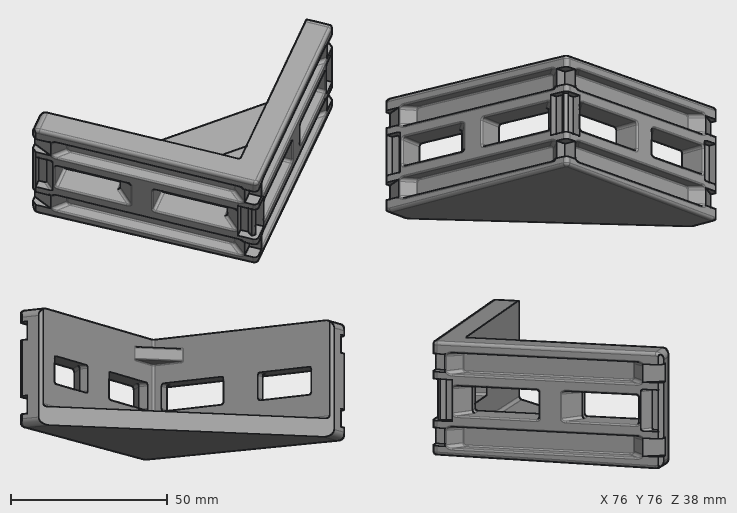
import cadquery as cq
import math

LEG = 76.0
HEIGHT = 38.0
MID_Z = HEIGHT / 2
PLATE = 8.7
DIAGONAL_OFFSET = 7.6
FLOOR = 6.0
WEB_TILT = 1.0
OVER = 3.8
SKIN = 0.1

END_ROUND = 2.5
END_CHAMFER = 1.45
CORNER_ROUND = 1.45
RIM_ROUND = 1.15
WEB_ROUND = 1.0
INNER_ROUND = 0.75

GUSSET_LEG = 11.25
GUSSET_BOTTOM = 29.95
GUSSET_TOP = 34.05
GUSSET_ROUND = 0.4

DRAFT = 2.0
MOUTH_ROUND = 0.5

GROOVE_OFFSET = 12.0
GROOVE_START, GROOVE_END = 6.5, 71.6
GROOVE_FLOOR_START, GROOVE_FLOOR_END = 10.6, 66.95
GROOVE_WIDTH = 6.9
GROOVE_DEPTH = 4.2
GROOVE_ROUND = 1.15
GROOVE_FLOOR_ROUND = 0.45
NOTCH_WIDTH = 5.85
END_NOTCH_DEPTH = 3.35
CORNER_NOTCH = 4.2

SLOTS = [(7.9, 33.6, 28.0), (40.8, 69.5, 64.15)]
SLOT_WIDTH = 9.65
SLOT_START_DRAFT = 0.1
SLOT_ROUND = 0.9

POCKET_WIDTH = 13.5
END_POCKET_FLOOR_END = 4.25
END_POCKET_END = 7.15
CORNER_POCKET_START = 69.5
CORNER_POCKET_DEPTH = 2.65
POST_FOOT = 72.05
POST_TIP = (73.7, 1.3)
POCKET_ROUND = 0.7


def mirrored(point):
    """Swap a plan point from one leg to the other."""
    return LEG - point[1], LEG - point[0]


def mirror_tool(tool):
    """Copy a cutting tool from the front leg to the side leg."""
    return tool.mirror(cq.Vector(1, 1, 0), (LEG, 0, 0))


def prism(points, z_low, z_high):
    return cq.Workplane("XY").workplane(offset=z_low).polyline(points).close().extrude(z_high - z_low)


def centered_prism(points, width, z):
    return prism(points, z - width / 2, z + width / 2)


def full_height_prism(points):
    return prism(points, -OVER, HEIGHT + OVER)


def diagonal_prism(points):
    """Extrude a (distance from the long web edge, z) outline along that edge."""
    plane = cq.Plane(origin=(0, DIAGONAL_OFFSET, 0), xDir=(1, -1, 0), normal=(-1, -1, 0))
    return cq.Workplane(plane).polyline(points).close().extrude(2 * LEG, both=True)


def drafted_recess(plan, width, z, depth, corner_round):
    """Recess from a plan outline; its upper and lower walls close in with depth."""
    mouth = width / 2
    bottom = mouth - depth * math.tan(math.radians(DRAFT))
    walls = (
        cq.Workplane("YZ")
        .polyline([(0, z - mouth), (0, z + mouth), (depth, z + bottom), (depth, z - bottom)])
        .close()
        .extrude(LEG)
    )
    recess = centered_prism(plan, width, z).intersect(walls)
    return recess.edges("not (|X or |Z)").fillet(corner_round)


def web_plane_height(distance, base):
    """Height of a plane tilted with the web, at a distance from the long web edge."""
    return base + distance * math.tan(math.radians(WEB_TILT))


def tilted_block(z_at_edge, z_far):
    """Large block between a plane tilted with the web and a level plane."""
    near, far = -2 * LEG, 2 * LEG
    return diagonal_prism([
        (near, web_plane_height(near, z_at_edge)),
        (far, web_plane_height(far, z_at_edge)),
        (far, z_far),
        (near, z_far),
    ])


def make_body():
    """Solid wedge with all of its outer edges rounded."""
    block = cq.Workplane("XY").box(LEG, LEG, 2 * HEIGHT, centered=(False, False, True))
    block = block.intersect(tilted_block(0, HEIGHT))
    block = block.edges("|Z and >X and <Y").fillet(CORNER_ROUND)
    block = block.faces("<X or >Y").edges("not |Z").edges("<X or >Y").fillet(END_ROUND)
    block = block.faces("<Y").edges(">Z").fillet(RIM_ROUND)

    beyond_edge = full_height_prism(
        [(-LEG, DIAGONAL_OFFSET - LEG), (LEG, LEG + DIAGONAL_OFFSET), (-LEG, 2 * LEG)]
    )
    end_corner = full_height_prism(
        [(-OVER, END_CHAMFER + OVER), (END_CHAMFER + OVER, -OVER), (-OVER, -OVER)]
    )
    return block.cut(beyond_edge).cut(end_corner).cut(mirror_tool(end_corner))


def make_cavity():
    """Space between the plates, above the web, with rounded inner edges."""
    far = LEG + OVER
    inner_x = LEG - PLATE
    space = full_height_prism([(-far, PLATE), (inner_x, PLATE), (inner_x, 2 * far), (-far, 2 * far)])
    space = space.intersect(tilted_block(FLOOR, HEIGHT + OVER))
    space = space.edges("|Z and >X and <Y").fillet(INNER_ROUND)
    return space.faces("<Z").edges("<Y").fillet(WEB_ROUND)


def add_gusset(body):
    """Triangular rib between the plates, near the top."""
    x, y = LEG - PLATE, PLATE
    sunk = INNER_ROUND
    reach = GUSSET_LEG + sunk
    plan = [
        (x - GUSSET_LEG, y),
        (x - GUSSET_LEG, y - sunk),
        (x + sunk, y - sunk),
        (x + sunk, y + GUSSET_LEG),
        (x, y + GUSSET_LEG),
    ]
    gusset = prism(plan, GUSSET_BOTTOM, GUSSET_TOP)
    free_face = gusset.faces(cq.selectors.DirectionMinMaxSelector(cq.Vector(-1, 1, 0)))
    gusset = free_face.edges(">Z or <Z").fillet(GUSSET_ROUND)
    body = body.union(gusset)
    low, high = GUSSET_BOTTOM - SKIN, GUSSET_TOP + SKIN
    on_front = cq.selectors.BoxSelector((x - reach, y - SKIN, low), (x, y + SKIN, high))
    on_side = cq.selectors.BoxSelector((x - SKIN, y, low), (x + SKIN, y + reach, high))
    return body.edges(on_front + on_side).fillet(GUSSET_ROUND)


def groove_tool(z):
    """Long groove with sloped end walls and a rounded floor edge."""
    plan = [
        (GROOVE_START, 0),
        (GROOVE_END, 0),
        (GROOVE_FLOOR_END, GROOVE_DEPTH),
        (GROOVE_FLOOR_START, GROOVE_DEPTH),
    ]
    groove = drafted_recess(plan, GROOVE_WIDTH, z, GROOVE_DEPTH, GROOVE_ROUND)
    return groove.faces(">Y").edges().fillet(GROOVE_FLOOR_ROUND)


def end_notch(z):
    """Ramp that opens a groove toward the free end."""
    slope = END_NOTCH_DEPTH / GROOVE_START
    rise = OVER * slope
    plan = [(GROOVE_START + OVER, -rise), (-OVER, END_NOTCH_DEPTH + rise), (-OVER, -rise)]
    return centered_prism(plan, NOTCH_WIDTH, z)


def corner_notch(z):
    """Square cut through the outer corner, joining the grooves of both legs."""
    start, end = LEG - CORNER_NOTCH, LEG + OVER
    plan = [(start, -OVER), (end, -OVER), (end, CORNER_NOTCH), (start, CORNER_NOTCH)]
    return centered_prism(plan, NOTCH_WIDTH, z)


def slot_tool(start, mouth_end, throat_end):
    """Bolt slot that widens outward with a 45 degree ramp on the corner side."""
    ramp_depth = mouth_end - throat_end
    plan = [
        (start, 0),
        (mouth_end, 0),
        (throat_end, ramp_depth),
        (throat_end, PLATE),
        (start + SLOT_START_DRAFT, PLATE),
    ]
    return drafted_recess(plan, SLOT_WIDTH, MID_Z, PLATE, SLOT_ROUND)


def end_pocket():
    """Pocket by the free end, with a 45 degree wall on its inner side."""
    depth = END_POCKET_END - END_POCKET_FLOOR_END
    plan = [(END_CHAMFER, 0), (END_CHAMFER, depth), (END_POCKET_FLOOR_END, depth), (END_POCKET_END, 0)]
    pocket = centered_prism(plan, POCKET_WIDTH, MID_Z)
    ramp = pocket.faces(cq.selectors.DirectionMinMaxSelector(cq.Vector(1, 1, 0)))
    return ramp.edges(">Z or <Z").fillet(POCKET_ROUND)


def corner_pocket():
    """Pocket around the outer corner that leaves a small upright post."""
    half = [
        (CORNER_POCKET_START, -OVER),
        (CORNER_POCKET_START, CORNER_POCKET_DEPTH),
        (POST_FOOT, CORNER_POCKET_DEPTH),
        POST_TIP,
    ]
    other_half = [mirrored(point) for point in reversed(half)]
    return centered_prism(half + other_half + [(LEG + OVER, -OVER)], POCKET_WIDTH, MID_Z)


def round_mouths(body):
    """Round the mouths of the grooves and slots on both outer faces."""
    near, far = GROOVE_START - SKIN, GROOVE_END + SKIN
    low, high = 2 * RIM_ROUND, HEIGHT - 2 * RIM_ROUND
    front_mouths = cq.selectors.BoxSelector(
        (near, -SKIN, low), (far, SKIN, high), boundingbox=True
    )
    side_mouths = cq.selectors.BoxSelector(
        (LEG - SKIN, LEG - far, low), (LEG + SKIN, LEG - near, high), boundingbox=True
    )
    return body.edges(front_mouths + side_mouths).fillet(MOUTH_ROUND)


groove_heights = [MID_Z - GROOVE_OFFSET, MID_Z + GROOVE_OFFSET]
rounded_tools = [groove_tool(z) for z in groove_heights] + [slot_tool(*slot) for slot in SLOTS]
sharp_tools = [end_notch(z) for z in groove_heights] + [end_pocket()]
corner_tools = [corner_notch(z) for z in groove_heights] + [corner_pocket()]

result = add_gusset(make_body().cut(make_cavity()))

for tool in rounded_tools:
    result = result.cut(tool).cut(mirror_tool(tool))

result = round_mouths(result)

for tool in sharp_tools:
    result = result.cut(tool).cut(mirror_tool(tool))
for tool in corner_tools:
    result = result.cut(tool)